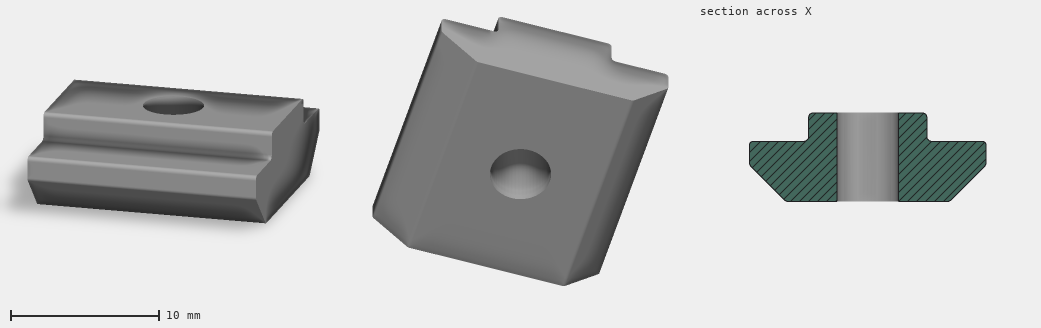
import cadquery as cq

length = 16.0
width = 16.0
height = 6.0

tongue_width = 8.0
tongue_height = 1.9

bevel = 2.5

edge_radius = 0.3

hole_diameter = 4.13

half_width = width / 2
half_tongue = tongue_width / 2
half_base = half_width - bevel
shoulder_z = height - tongue_height


def nut_body():
    """T-shaped profile in the YZ plane, extruded along X and rounded lengthwise."""
    profile = [
        (half_base, 0),
        (half_width, bevel),
        (half_width, shoulder_z),
        (half_tongue, shoulder_z),
        (half_tongue, height),
        (-half_tongue, height),
        (-half_tongue, shoulder_z),
        (-half_width, shoulder_z),
        (-half_width, bevel),
        (-half_base, 0),
    ]
    bar = cq.Workplane("YZ").polyline(profile).close().extrude(length / 2, both=True)
    return bar.edges("|X").fillet(edge_radius)


def through_hole():
    """Vertical cylinder through the full height."""
    return cq.Workplane("XY").circle(hole_diameter / 2).extrude(height)


result = nut_body().cut(through_hole())